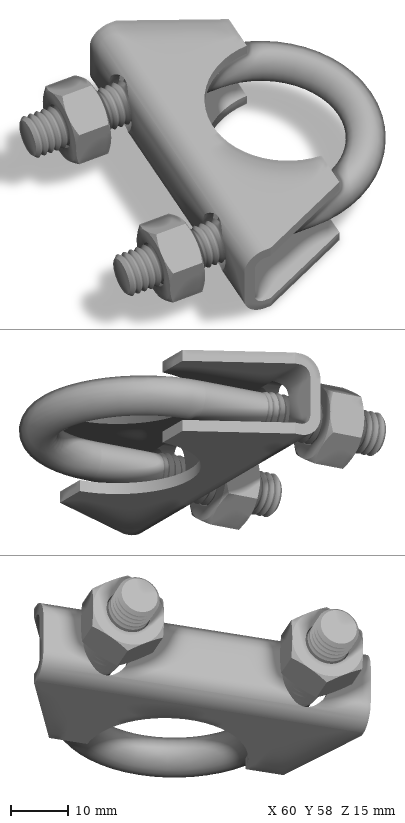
import cadquery as cq
import math


saddle_length = 60.0
saddle_height = 15.0
saddle_depth = 22.8
sheet_thickness = 2.05
bend_outer_radius = 4.0
bend_inner_radius = bend_outer_radius - sheet_thickness
saddle_end_depth = 5.1
saddle_top_width = 42.95
pipe_seat_radius = 14.5
pipe_seat_bottom = 9.0
leg_hole_width = 9.0
leg_hole_height = 12.0

rod_diameter = 6.95
leg_spacing = 36.5
leg_x_positions = (-leg_spacing / 2, leg_spacing / 2)
leg_end_y = -18.0
bolt_length = 58.0
bend_center_y = leg_end_y + bolt_length - (leg_spacing + rod_diameter) / 2

thread_crest_diameter = 7.75
thread_root_diameter = 6.6
thread_pitch = 1.25
thread_turns = 18
runout_crest_diameter = 7.45
runout_crest_offset = 0.55
runout_root_offset = 0.95
runout_length = 1.3

nut_across_corners = 15.0
nut_width = nut_across_corners * math.cos(math.pi / 6)
nut_height = 6.85
nut_bore_diameter = 8.1
nut_inner_face_y = -5.0
nut_chamfer_angle = 30.0


def make_saddle():
    inner_height = saddle_height - 2 * sheet_thickness
    channel = (
        cq.Workplane("YZ")
        .rect(2 * saddle_depth, saddle_height)
        .extrude(saddle_length / 2, both=True)
        .edges("|X and <Y")
        .fillet(bend_outer_radius)
        .translate((0, saddle_depth, 0))
    )
    cavity = (
        cq.Workplane("YZ")
        .rect(2 * saddle_depth, inner_height)
        .extrude(saddle_length / 2, both=True)
        .edges("|X and <Y")
        .fillet(bend_inner_radius)
        .translate((0, saddle_depth + sheet_thickness, 0))
    )
    outline = (
        cq.Workplane("XY")
        .moveTo(-saddle_length / 2, 0)
        .lineTo(saddle_length / 2, 0)
        .lineTo(saddle_length / 2, saddle_end_depth)
        .lineTo(saddle_top_width / 2, saddle_depth)
        .lineTo(-saddle_top_width / 2, saddle_depth)
        .lineTo(-saddle_length / 2, saddle_end_depth)
        .close()
        .extrude(saddle_height / 2, both=True)
    )
    pipe_seat = (
        cq.Workplane("XY")
        .center(0, pipe_seat_bottom + pipe_seat_radius)
        .circle(pipe_seat_radius)
        .extrude(saddle_height, both=True)
    )
    leg_holes = (
        cq.Workplane("XZ")
        .pushPoints([(x, 0) for x in leg_x_positions])
        .ellipse(leg_hole_width / 2, leg_hole_height / 2)
        .extrude(-bend_outer_radius)
    )
    return channel.cut(cavity).intersect(outline).cut(pipe_seat).cut(leg_holes)


def make_threaded_leg():
    """One straight leg around the Y axis, with thread rings from its free end."""
    root_radius = thread_root_diameter / 2
    thread_end_y = leg_end_y + thread_turns * thread_pitch
    profile = cq.Workplane("XY").moveTo(0, leg_end_y).lineTo(root_radius, leg_end_y)
    for turn in range(thread_turns):
        root_y = leg_end_y + turn * thread_pitch
        profile = profile.lineTo(thread_crest_diameter / 2, root_y + thread_pitch / 2)
        profile = profile.lineTo(root_radius, root_y + thread_pitch)
    return (
        profile
        .lineTo(runout_crest_diameter / 2, thread_end_y + runout_crest_offset)
        .lineTo(root_radius, thread_end_y + runout_root_offset)
        .lineTo(rod_diameter / 2, thread_end_y + runout_length)
        .lineTo(rod_diameter / 2, bend_center_y)
        .lineTo(0, bend_center_y)
        .close()
        .revolve(360, (0, 0, 0), (0, 1, 0))
    )


def make_u_bolt():
    bolt = (
        cq.Workplane("XZ", origin=(0, bend_center_y, 0))
        .center(leg_spacing / 2, 0)
        .circle(rod_diameter / 2)
        .revolve(180, (-leg_spacing / 2, 0, 0), (-leg_spacing / 2, 1, 0))
    )
    for x in leg_x_positions:
        bolt = bolt.union(make_threaded_leg().translate((x, 0, 0)))
    return bolt


def make_nut(x):
    """Hex nut with two corners on the Z axis and both faces chamfered to a circle."""
    corner_radius = nut_across_corners / 2
    chamfer_height = (corner_radius - nut_width / 2) * math.tan(math.radians(nut_chamfer_angle))
    hexagon = (
        cq.Workplane("XZ")
        .polygon(6, nut_across_corners)
        .extrude(nut_height)
        .rotate((0, 0, 0), (0, 1, 0), 90)
    )
    chamfer_envelope = (
        cq.Workplane("XY")
        .moveTo(0, 0)
        .lineTo(nut_width / 2, 0)
        .lineTo(corner_radius, -chamfer_height)
        .lineTo(corner_radius, chamfer_height - nut_height)
        .lineTo(nut_width / 2, -nut_height)
        .lineTo(0, -nut_height)
        .close()
        .revolve(360, (0, 0, 0), (0, 1, 0))
    )
    bore = cq.Workplane("XZ").circle(nut_bore_diameter / 2).extrude(nut_height)
    return hexagon.intersect(chamfer_envelope).cut(bore).translate((x, nut_inner_face_y, 0))


saddle = make_saddle()
u_bolt = make_u_bolt()
nuts = [make_nut(x) for x in leg_x_positions]

result = cq.Compound.makeCompound([saddle.val(), u_bolt.val(), *[nut.val() for nut in nuts]])